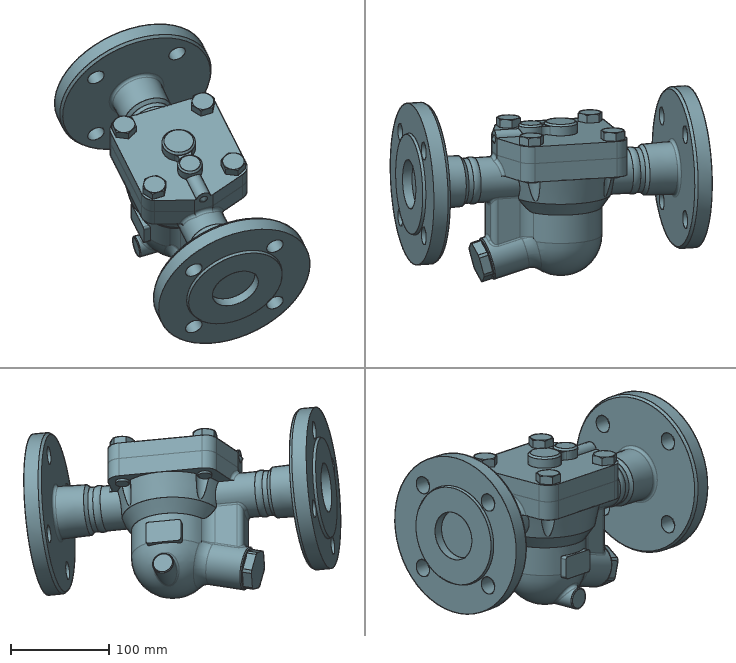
import cadquery as cq
import math

FACE_TO_FACE = 300.0

FLANGE_DIA = 165.0
FLANGE_THICKNESS = 18.0
FLANGE_BEVEL_LENGTH = 3.0
FLANGE_BEVEL_DEPTH = 2.0
RAISED_FACE_DIA = 102.0
RAISED_FACE_BASE_DIA = 104.0
RAISED_FACE_HEIGHT = 3.0
BOLT_CIRCLE_DIA = 125.0
FLANGE_HOLE_DIA = 18.0
FLANGE_HOLES = 4
FLANGE_HOLE_START_ANGLE = 45.0
BORE_DIA = 50.0
BORE_DEPTH = 10.0

PIPE_DIA = 46.0
NECK_ROOT_DIA = 53.6
NECK_END_DIA = 52.0
NECK_ROOT_FILLET = 3.0
NECK_END_X = 97.0
NECK_STEP_LENGTH = 3.7
WELD_BEAD_X = 84.3
WELD_BEAD_WIDTH = 7.7
WELD_BEAD_HEIGHT = 1.0

CHAMBER_X = -10.0
CHAMBER_RADIUS = 42.0
DOME_Z = -62.0
SHOULDER_Z = -19.0
SHOULDER_BOTTOM_Z = -32.5
SHOULDER_RADIUS = 51.5
UPPER_TOP_RADIUS = 56.8

PLATE_BOTTOM_Z = 7.5
JOINT_Z = 27.0
COVER_TOP_Z = 44.5
PLATE_HALF_WIDTH = 57.0
PLATE_LEFT_X = -67.6
PLATE_CORNER_RADIUS = 14.0
PLATE_TIP_X = 60.2
PLATE_TIP_HALF_WIDTH = 10.0
PIPE_ROOT_FILLET = 3.6

BOLT_HALF_SPACING = 43.0
BOLT_ACROSS_FLATS = 22.0
BOLT_HEAD_HEIGHT = 8.8
BOLT_HEAD_CHAMFER = 1.0
BOLT_SHANK_DIA = 14.0
BOLT_END_LENGTH = 2.5
BOLT_RELIEF_DIA = 18.0

MAIN_BOSS_DIA = 34.0
SIDE_BOSS_DIA = 25.0
SIDE_BOSS_X = 21.8
BOSS_TOP_Z = 56.0
BOSS_CHAMFER = 2.0
WEB_FLANK_RADIUS = 6.0
CHANNEL_DIA = 16.0
CHANNEL_AXIS_Z = 42.7
TIP_NUB_DIA = 8.5
TIP_NUB_Z = 41.5
TIP_NUB_LENGTH = 3.0

DUCT_END_X = 66.8
DUCT_HALF_WIDTH = 16.4
DUCT_CORNER_RADIUS = 6.0
DUCT_BOTTOM_Z = -70.0
DUCT_BLEND_RADIUS = 15.0
DUCT_PIPE_FILLET = 3.0

BRANCH_SLOPE = 15.0
BRANCH_RADIUS = 22.0
BRANCH_LENGTH = 81.3
BRANCH_END_CHAMFER = 1.2
BRANCH_DUCT_FILLET = 3.0
BRANCH_BLEND_RADIUS = 15.0
PLUG_NECK_DIA = 36.0
PLUG_NECK_LENGTH = 0.7
PLUG_ACROSS_FLATS = 38.0
PLUG_TURNED_DIA = 42.0
PLUG_HEIGHT = 10.0

DRAIN_DIA = 22.0
DRAIN_Z = -90.2
DRAIN_END_Y = -46.5
DRAIN_CHAMFER = 1.0
DRAIN_FILLET = 3.0
PAD_X_MIN = -28.0
PAD_X_MAX = 8.3
PAD_Z_MIN = -65.7
PAD_Z_MAX = -42.2
PAD_FACE_Y = -45.0
PAD_CORNER_RADIUS = 2.5

PICK_MARGIN = 0.1


def cylinder(x, y, z_bottom, z_top, diameter):
    base = cq.Workplane("XY", origin=(x, y, z_bottom))
    return base.circle(diameter / 2).extrude(z_top - z_bottom)


def hexagon_across_corners(across_flats):
    return across_flats / math.cos(math.pi / 6)


def hex_head(across_flats, height, chamfer):
    """Hexagonal head on the XY plane, its upper corners turned off by a cone."""
    corners = hexagon_across_corners(across_flats)
    head = cq.Workplane("XY").polygon(6, corners).extrude(height)
    turned = cq.Workplane("XY").circle(corners / 2).extrude(height).faces(">Z").chamfer(
        chamfer, (corners - across_flats) / 2)
    return head.intersect(turned)


def flange_and_neck():
    """Flange, neck and pipe stub at the +X end, revolved about the pipe axis."""
    end_x = FACE_TO_FACE / 2
    front_x = end_x - RAISED_FACE_HEIGHT
    back_x = front_x - FLANGE_THICKNESS
    pipe_r = PIPE_DIA / 2
    neck_r = NECK_ROOT_DIA / 2
    bead_half = WELD_BEAD_WIDTH / 2
    fillet = NECK_ROOT_FILLET
    arc_mid = fillet * (1 - math.sqrt(0.5))
    solid = (
        cq.Workplane("XZ")
        .moveTo(0, 0)
        .lineTo(0, pipe_r)
        .lineTo(WELD_BEAD_X - bead_half, pipe_r)
        .threePointArc((WELD_BEAD_X, pipe_r + WELD_BEAD_HEIGHT), (WELD_BEAD_X + bead_half, pipe_r))
        .lineTo(NECK_END_X - NECK_STEP_LENGTH, pipe_r)
        .lineTo(NECK_END_X, NECK_END_DIA / 2)
        .lineTo(back_x - fillet, neck_r)
        .threePointArc((back_x - arc_mid, neck_r + arc_mid), (back_x, neck_r + fillet))
        .lineTo(back_x, FLANGE_DIA / 2 - FLANGE_BEVEL_DEPTH)
        .lineTo(back_x + FLANGE_BEVEL_LENGTH, FLANGE_DIA / 2)
        .lineTo(front_x, FLANGE_DIA / 2)
        .lineTo(front_x, RAISED_FACE_BASE_DIA / 2)
        .lineTo(end_x, RAISED_FACE_DIA / 2)
        .lineTo(end_x, 0)
        .close()
        .revolve(360, (0, 0, 0), (1, 0, 0))
    )
    face = cq.Workplane("YZ", origin=(end_x, 0, 0))
    holes = (
        face.polarArray(BOLT_CIRCLE_DIA / 2, FLANGE_HOLE_START_ANGLE, 360, FLANGE_HOLES)
        .circle(FLANGE_HOLE_DIA / 2)
        .extrude(-(RAISED_FACE_HEIGHT + FLANGE_THICKNESS))
    )
    bore = face.circle(BORE_DIA / 2).extrude(-BORE_DEPTH)
    return solid.cut(holes).cut(bore)


def plate_outline(z):
    """Plate outline: square corners on the left, tapering to a flat tip on the right."""
    bolt_x = CHAMBER_X + BOLT_HALF_SPACING
    radius = PLATE_CORNER_RADIUS
    centre_y = PLATE_HALF_WIDTH - radius
    dx = PLATE_TIP_X - bolt_x
    dy = PLATE_TIP_HALF_WIDTH - centre_y
    normal = math.atan2(dy, dx) + math.acos(radius / math.hypot(dx, dy))
    mid = (normal + math.pi / 2) / 2

    def on_arc(angle, side):
        return (bolt_x + radius * math.cos(angle), side * (centre_y + radius * math.sin(angle)))

    return (
        cq.Workplane("XY", origin=(0, 0, z))
        .moveTo(PLATE_LEFT_X, PLATE_HALF_WIDTH)
        .lineTo(bolt_x, PLATE_HALF_WIDTH)
        .threePointArc(on_arc(mid, 1), on_arc(normal, 1))
        .lineTo(PLATE_TIP_X, PLATE_TIP_HALF_WIDTH)
        .lineTo(PLATE_TIP_X, -PLATE_TIP_HALF_WIDTH)
        .lineTo(*on_arc(normal, -1))
        .threePointArc(on_arc(mid, -1), (bolt_x, -PLATE_HALF_WIDTH))
        .lineTo(PLATE_LEFT_X, -PLATE_HALF_WIDTH)
        .close()
    )


def plate(z_bottom, z_top):
    solid = plate_outline(z_bottom).extrude(z_top - z_bottom)
    return solid.edges("|Z and <X").fillet(PLATE_CORNER_RADIUS)


def pipe_root_fillets():
    """Fillets where the pipe stubs leave the end faces of the body plate."""
    span = FLANGE_DIA / 2
    block = plate(-span, span)
    pipe = cq.Workplane("YZ").circle(PIPE_DIA / 2).extrude(NECK_END_X, both=True)
    rooted = block.union(pipe)
    around_pipe = cq.selectors.BoxSelector(
        (-NECK_END_X, -PIPE_DIA, -PIPE_DIA), (NECK_END_X, PIPE_DIA, PIPE_DIA))
    rooted = rooted.edges(around_pipe).edges("not |Z").edges("not |X").fillet(PIPE_ROOT_FILLET)
    slab = cq.Workplane("XY", origin=(0, 0, PLATE_BOTTOM_Z)).box(
        2 * NECK_END_X, 2 * PLATE_HALF_WIDTH, JOINT_Z - PLATE_BOTTOM_Z, centered=(True, True, False))
    return rooted.intersect(slab)


def bolt_positions():
    """X and Y of each cover bolt, and the sign of the diagonal it lies on."""
    for side_x in (-1, 1):
        for side_y in (-1, 1):
            x = CHAMBER_X + side_x * BOLT_HALF_SPACING
            yield x, side_y * BOLT_HALF_SPACING, side_x * side_y


def chamber():
    """Revolved chamber: flared upper body, conical shoulder, round barrel and dome."""
    dome_mid = CHAMBER_RADIUS * math.sqrt(0.5)
    solid = (
        cq.Workplane("XZ", origin=(CHAMBER_X, 0, 0))
        .moveTo(0, PLATE_BOTTOM_Z)
        .lineTo(UPPER_TOP_RADIUS, PLATE_BOTTOM_Z)
        .lineTo(SHOULDER_RADIUS, SHOULDER_Z)
        .lineTo(CHAMBER_RADIUS, SHOULDER_BOTTOM_Z)
        .lineTo(CHAMBER_RADIUS, DOME_Z)
        .threePointArc((dome_mid, DOME_Z - dome_mid), (0, DOME_Z - CHAMBER_RADIUS))
        .close()
        .revolve(360, (0, 0, 0), (0, 1, 0))
    )
    for x, y, _ in bolt_positions():
        solid = solid.cut(cylinder(x, y, SHOULDER_Z, PLATE_BOTTOM_Z, BOLT_RELIEF_DIA))
    return solid


def duct_pipe_fillets():
    """Straight part of the duct, its top filleted into the outlet pipe."""
    start_x = CHAMBER_X + CHAMBER_RADIUS / 2
    column = cq.Workplane("XY", origin=(start_x, 0, DUCT_BOTTOM_Z)).box(
        DUCT_END_X - start_x, 2 * DUCT_HALF_WIDTH, -DUCT_BOTTOM_Z, centered=(False, True, False))
    column = column.edges("|Z and >X").fillet(DUCT_CORNER_RADIUS)
    pipe_r = PIPE_DIA / 2
    pipe_start = cq.Workplane("YZ", origin=(CHAMBER_X, 0, 0))
    pipe = pipe_start.circle(pipe_r).extrude(WELD_BEAD_X - CHAMBER_X)
    junction = cq.selectors.BoxSelector(
        (0, -DUCT_HALF_WIDTH - PICK_MARGIN, -pipe_r - PICK_MARGIN),
        (DUCT_END_X + PICK_MARGIN, DUCT_HALF_WIDTH + PICK_MARGIN, 0), boundingbox=True)
    return column.union(pipe).edges(junction).fillet(DUCT_PIPE_FILLET)


def duct_blend():
    """Centre of the blend arc on the +Y side and the point where it touches the chamber."""
    blend_y = DUCT_HALF_WIDTH + DUCT_BLEND_RADIUS
    reach = CHAMBER_RADIUS + DUCT_BLEND_RADIUS
    blend_dx = math.sqrt(reach ** 2 - blend_y ** 2)
    share = CHAMBER_RADIUS / reach
    centre = (CHAMBER_X + blend_dx, blend_y)
    touch = (CHAMBER_X + share * blend_dx, share * blend_y)
    return centre, touch


def duct():
    """Vertical duct whose sides sweep tangentially into the round chamber."""
    blend = DUCT_BLEND_RADIUS
    (blend_x, blend_y), touch = duct_blend()
    touch_angle = math.atan2(touch[1] - blend_y, touch[0] - blend_x)
    mid_angle = (touch_angle - math.pi / 2) / 2
    mid = (blend_x + blend * math.cos(mid_angle), blend_y + blend * math.sin(mid_angle))
    solid = (
        cq.Workplane("XY", origin=(0, 0, DUCT_BOTTOM_Z))
        .moveTo(CHAMBER_X, touch[1])
        .lineTo(*touch)
        .threePointArc(mid, (blend_x, DUCT_HALF_WIDTH))
        .lineTo(DUCT_END_X, DUCT_HALF_WIDTH)
        .lineTo(DUCT_END_X, -DUCT_HALF_WIDTH)
        .lineTo(blend_x, -DUCT_HALF_WIDTH)
        .threePointArc((mid[0], -mid[1]), (touch[0], -touch[1]))
        .lineTo(CHAMBER_X, -touch[1])
        .close()
        .extrude(-DUCT_BOTTOM_Z)
    )
    return solid.edges("|Z and >X").fillet(DUCT_CORNER_RADIUS)


def screen_branch():
    """Sloping branch, flared into the dome, closed by a hexagon plug."""
    blend = BRANCH_BLEND_RADIUS
    reach = CHAMBER_RADIUS + blend
    blend_r = BRANCH_RADIUS + blend
    blend_t = math.sqrt(reach ** 2 - blend_r ** 2)
    share = CHAMBER_RADIUS / reach
    touch = (share * blend_r, share * blend_t)
    touch_angle = math.atan2(touch[1] - blend_t, touch[0] - blend_r)
    mid_angle = (touch_angle - math.pi) / 2
    mid = (blend_r + blend * math.cos(mid_angle), blend_t + blend * math.sin(mid_angle))
    branch = (
        cq.Workplane("XZ")
        .moveTo(0, touch[1])
        .lineTo(*touch)
        .threePointArc(mid, (BRANCH_RADIUS, blend_t))
        .lineTo(BRANCH_RADIUS, BRANCH_LENGTH)
        .lineTo(0, BRANCH_LENGTH)
        .close()
        .revolve(360, (0, 0, 0), (0, 1, 0))
    )
    seat = BRANCH_LENGTH + PLUG_NECK_LENGTH
    neck = cylinder(0, 0, BRANCH_LENGTH, seat, PLUG_NECK_DIA)
    hexagon = cq.Workplane("XY", origin=(0, 0, seat)).polygon(6, hexagon_across_corners(PLUG_ACROSS_FLATS))
    plug = hexagon.extrude(PLUG_HEIGHT).intersect(cylinder(0, 0, seat, seat + PLUG_HEIGHT, PLUG_TURNED_DIA))
    assembly = branch.faces(">Z").chamfer(BRANCH_END_CHAMFER).union(neck).union(plug)
    return assembly.rotate((0, 0, 0), (0, 1, 0), 90 + BRANCH_SLOPE).translate((CHAMBER_X, 0, DOME_Z))


def duct_and_branch():
    """Duct standing on the screen branch, filleted where its walls meet the branch."""
    joined = duct().union(screen_branch())
    _, touch = duct_blend()
    junction = cq.selectors.BoxSelector(
        (touch[0] - PICK_MARGIN, -CHAMBER_RADIUS, DUCT_BOTTOM_Z + PICK_MARGIN),
        (DUCT_END_X + PICK_MARGIN, CHAMBER_RADIUS, SHOULDER_BOTTOM_Z), boundingbox=True)
    return joined.edges(junction).fillet(BRANCH_DUCT_FILLET)


def drain_boss():
    """Drain boss running from the chamber axis out to the -Y side."""
    end = cq.Workplane("XZ", origin=(CHAMBER_X, DRAIN_END_Y, DRAIN_Z))
    boss = end.circle(DRAIN_DIA / 2).extrude(DRAIN_END_Y)
    return boss.faces("<Y").chamfer(DRAIN_CHAMFER)


def chamber_with_drain():
    """Chamber with the drain boss filleted into its dome."""
    joined = chamber().union(drain_boss())
    root = cq.selectors.BoxSelector(
        (CHAMBER_X - DRAIN_DIA, DRAIN_END_Y + DRAIN_CHAMFER + PICK_MARGIN, DRAIN_Z - DRAIN_DIA),
        (CHAMBER_X + DRAIN_DIA, 0, DRAIN_Z + DRAIN_DIA))
    return joined.edges(root).fillet(DRAIN_FILLET)


def name_pad():
    width = PAD_X_MAX - PAD_X_MIN
    height = PAD_Z_MAX - PAD_Z_MIN
    centre = ((PAD_X_MIN + PAD_X_MAX) / 2, 0, (PAD_Z_MIN + PAD_Z_MAX) / 2)
    pad = cq.Workplane("XZ", origin=centre).rect(width, height).extrude(-PAD_FACE_Y)
    return pad.edges("|Y").fillet(PAD_CORNER_RADIUS)


def bolt_heads():
    heads = cq.Workplane()
    for x, y, diagonal in bolt_positions():
        head = hex_head(BOLT_ACROSS_FLATS, BOLT_HEAD_HEIGHT, BOLT_HEAD_CHAMFER)
        if diagonal < 0:
            head = head.rotate((0, 0, 0), (0, 0, 1), 90)
        heads = heads.add(head.translate((x, y, COVER_TOP_Z)))
    return heads


def bolt_ends():
    """Ends of the bolts, standing out below the body plate."""
    ends = cq.Workplane()
    for x, y, _ in bolt_positions():
        ends = ends.add(cylinder(x, y, PLATE_BOTTOM_Z - BOLT_END_LENGTH, JOINT_Z, BOLT_SHANK_DIA))
    return ends


def boss_web(top_z):
    """Web joining the two bosses, its hollow flanks tangent to both of them."""
    main_r = MAIN_BOSS_DIA / 2
    side_r = SIDE_BOSS_DIA / 2
    spacing = SIDE_BOSS_X - CHAMBER_X
    main_reach = main_r + WEB_FLANK_RADIUS
    side_reach = side_r + WEB_FLANK_RADIUS
    flank_x = (main_reach ** 2 + spacing ** 2 - side_reach ** 2) / (2 * spacing)
    flank_y = math.sqrt(main_reach ** 2 - flank_x ** 2)
    start = (flank_x * main_r / main_reach, flank_y * main_r / main_reach)
    end = (spacing - (spacing - flank_x) * side_r / side_reach, flank_y * side_r / side_reach)
    waist = (flank_x, flank_y - WEB_FLANK_RADIUS)
    return (
        cq.Workplane("XY", origin=(CHAMBER_X, 0, JOINT_Z))
        .moveTo(*start)
        .threePointArc(waist, end)
        .lineTo(end[0], -end[1])
        .threePointArc((waist[0], -waist[1]), (start[0], -start[1]))
        .close()
        .extrude(top_z - JOINT_Z)
    )


def cover_bosses():
    main = cylinder(CHAMBER_X, 0, JOINT_Z, BOSS_TOP_Z, MAIN_BOSS_DIA).faces(">Z").chamfer(BOSS_CHAMFER)
    side = cylinder(SIDE_BOSS_X, 0, JOINT_Z, BOSS_TOP_Z, SIDE_BOSS_DIA).faces(">Z").chamfer(BOSS_CHAMFER)
    web_top = COVER_TOP_Z + BOLT_HEAD_HEIGHT
    web = boss_web(web_top)
    channel_start = cq.Workplane("YZ", origin=(SIDE_BOSS_X, 0, CHANNEL_AXIS_Z))
    channel = channel_start.circle(CHANNEL_DIA / 2).extrude(PLATE_TIP_X - SIDE_BOSS_X)
    nub = cq.Workplane(cq.Solid.makeCone(
        TIP_NUB_DIA / 2, 0, TIP_NUB_LENGTH, cq.Vector(PLATE_TIP_X, 0, TIP_NUB_Z), cq.Vector(1, 0, 0)))
    return main.union(side).union(web).union(channel).union(nub)


outlet = flange_and_neck()
inlet = outlet.mirror("YZ")
vessel = chamber_with_drain()
body_plate = plate(PLATE_BOTTOM_Z, JOINT_Z).union(bolt_ends())
lower = vessel.union(body_plate)
lower = lower.union(duct_and_branch()).union(name_pad())
lower = lower.union(inlet).union(outlet)
lower = lower.union(duct_pipe_fillets())
lower = lower.union(pipe_root_fillets())
cover = plate(JOINT_Z, COVER_TOP_Z).union(cover_bosses()).union(bolt_heads())
result = lower.union(cover, clean=False)